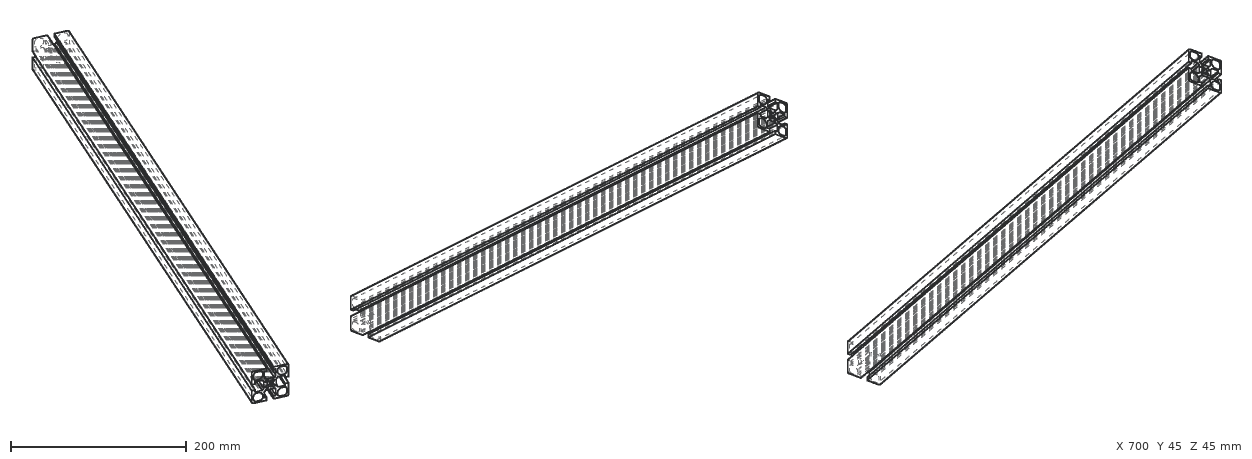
import cadquery as cq

length = 700.0
side = 45.0
corner_radius = 2.0

mouth_width = 8.5
lip_thickness = 4.0
cavity_width = 14.0
cavity_floor = 8.0
cavity_chamfer = 2.0

channel_offset = 15.0
channel_size = 11.0
channel_radius = 3.5
channel_bevel = 3.5

bore_diameter = 7.0
lobe_span = 13.0
lobe_width = 3.0

half_side = side / 2
quarter_turns = (0, 90, 180, 270)
lobe_angles = (45, 135)


def bar_prism(sketch):
    """Extrude a cross-section over the whole bar, centred on the origin."""
    return sketch.extrude(length / 2, both=True)


def section_plane():
    """Cross-section plane at mid-length: Y to the right, Z up."""
    return cq.Workplane("YZ")


def make_blank():
    blank = bar_prism(section_plane().rect(side, side))
    return blank.edges("|X").fillet(corner_radius)


def turned(body, angle):
    """Turn a body about the bar axis."""
    return body.rotate((0, 0, 0), (1, 0, 0), angle)


def make_slot():
    """T-slot on the +Z face: narrow mouth above a wide cavity with bevelled floor corners."""
    cavity_top = half_side - lip_thickness
    half_mouth = mouth_width / 2
    half_cavity = cavity_width / 2
    half_floor = half_cavity - cavity_chamfer
    outline = [
        (-half_mouth, half_side),
        (-half_mouth, cavity_top),
        (-half_cavity, cavity_top),
        (-half_cavity, cavity_floor + cavity_chamfer),
        (-half_floor, cavity_floor),
        (half_floor, cavity_floor),
        (half_cavity, cavity_floor + cavity_chamfer),
        (half_cavity, cavity_top),
        (half_mouth, cavity_top),
        (half_mouth, half_side),
    ]
    return bar_prism(section_plane().polyline(outline).close())


def make_channel():
    """Channel in the +Y +Z corner."""
    centre = section_plane().center(channel_offset, channel_offset)
    channel = bar_prism(centre.rect(channel_size, channel_size))
    channel = channel.edges("|X").edges("<(0, 1, 1)").chamfer(channel_bevel)
    return channel.edges("|X").fillet(channel_radius)


def make_core_hole():
    hole = bar_prism(section_plane().circle(bore_diameter / 2))
    for angle in lobe_angles:
        lobe = bar_prism(section_plane().rect(lobe_span, lobe_width))
        hole = hole.union(turned(lobe, angle))
    return hole


result = make_blank()
for angle in quarter_turns:
    result = result.cut(turned(make_slot(), angle))
    result = result.cut(turned(make_channel(), angle))
result = result.cut(make_core_hole())